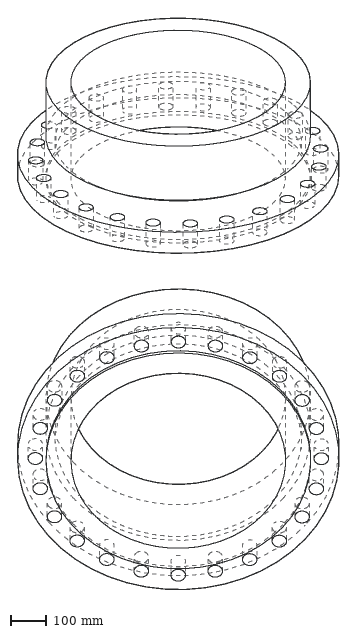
import cadquery as cq

flange_diameter = 914.0
flange_thickness = 69.0

face_diameter = 752.0
face_height = 11.0

neck_diameter = 702.0
neck_height = 43.0
neck_fillet = 1.0
collar_diameter = face_diameter
collar_taper_height = 16.0
total_height = 314.5

bore_diameter = 610.0
bolt_circle_diameter = 813.0
bolt_hole_diameter = 41.0
bolt_count = 24

flange_bottom = face_height
flange_top = flange_bottom + flange_thickness
neck_top = flange_top + neck_height
collar_bottom = neck_top + collar_taper_height


def revolved_body():
    """Ring-shaped body turned about Z, with a small fillet where the neck meets the flange."""
    bore_radius = bore_diameter / 2
    face_radius = face_diameter / 2
    flange_radius = flange_diameter / 2
    neck_radius = neck_diameter / 2
    collar_radius = collar_diameter / 2
    profile = (
        cq.Workplane("XZ")
        .moveTo(bore_radius, 0)
        .lineTo(face_radius, 0)
        .lineTo(face_radius, flange_bottom)
        .lineTo(flange_radius, flange_bottom)
        .lineTo(flange_radius, flange_top)
        .lineTo(neck_radius + neck_fillet, flange_top)
        .radiusArc((neck_radius, flange_top + neck_fillet), neck_fillet)
        .lineTo(neck_radius, neck_top)
        .lineTo(collar_radius, collar_bottom)
        .lineTo(collar_radius, total_height)
        .lineTo(bore_radius, total_height)
        .close()
    )
    return profile.revolve(360, (0, 0, 0), (0, 1, 0))


def bolt_holes():
    """Cylinders on the bolt circle, passing through the flange plate."""
    return (
        cq.Workplane("XY")
        .workplane(offset=flange_bottom)
        .polarArray(bolt_circle_diameter / 2, 0, 360, bolt_count)
        .circle(bolt_hole_diameter / 2)
        .extrude(flange_thickness)
    )


result = revolved_body().cut(bolt_holes())